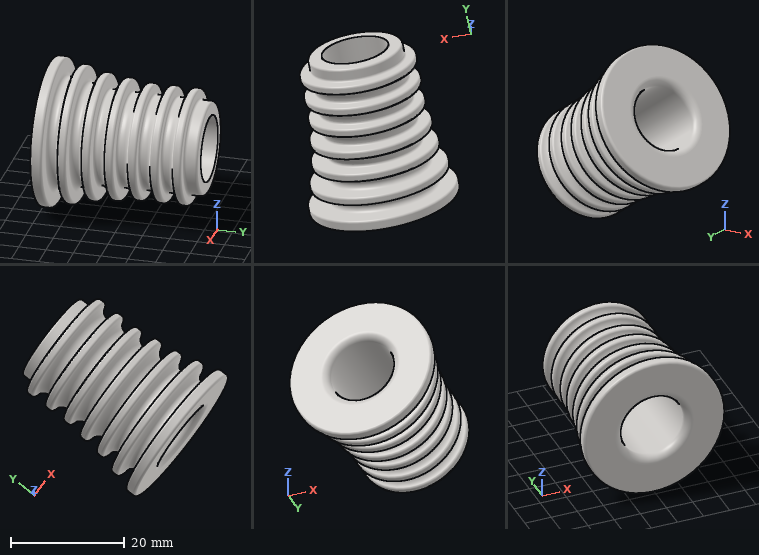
import cadquery as cq
import math

ring_pitch = 4.1
ring_thickness = 1.6
flange_thickness = 2.2
groove_width = ring_pitch - ring_thickness

flange_radius = 27.0 / 2
ring_radii = [25.0 / 2, 23.0 / 2, 22.0 / 2, 21.0 / 2, 21.0 / 2, 21.0 / 2]
hub_radius = 17.0 / 2
bore_radius = 12.0 / 2

edge_fillet = 0.5
wide_root_fillet = 1.0
root_fillets = [wide_root_fillet] * 2 + [edge_fillet] * 4
mouth_fillet = 1.5

total_length = flange_thickness + len(ring_radii) * ring_pitch + groove_width


def polar(center, radius, angle):
    """Point at an angle (radians, from the radial direction) on a circle."""
    return (center[0] + radius * math.cos(angle), center[1] + radius * math.sin(angle))


def add_arc(profile, center, radius, start, end):
    """Line to the start of a circular arc, then follow the arc to its end."""
    profile = profile.lineTo(*polar(center, radius, start))
    middle = polar(center, radius, (start + end) / 2)
    return profile.threePointArc(middle, polar(center, radius, end))


def add_upper_edge(profile, radius, height):
    """Round a square outer edge at the +Y side of a cylinder."""
    center = (radius - edge_fillet, height - edge_fillet)
    return add_arc(profile, center, edge_fillet, 0, math.pi / 2)


def add_groove_and_ring(profile, base, radius, root_fillet):
    """Follow a groove that starts at height base, then the ring above it."""
    arc_radius = radius - hub_radius
    arc_center = (radius, base + groove_width - arc_radius)

    root_height = base + root_fillet
    root_angle = math.pi - math.asin((root_height - arc_center[1]) / (arc_radius - root_fillet))
    root_center = polar(arc_center, arc_radius - root_fillet, root_angle)
    profile = add_arc(profile, root_center, root_fillet, 1.5 * math.pi, root_angle)

    edge_angle = math.pi - math.acos(edge_fillet / (arc_radius + edge_fillet))
    edge_center = polar(arc_center, arc_radius + edge_fillet, edge_angle)
    middle = polar(arc_center, arc_radius, (root_angle + edge_angle) / 2)
    profile = profile.threePointArc(middle, polar(arc_center, arc_radius, edge_angle))
    profile = profile.threePointArc(
        polar(edge_center, edge_fillet, (edge_angle - math.pi) / 2),
        polar(edge_center, edge_fillet, 0),
    )
    return add_upper_edge(profile, radius, base + ring_pitch)


mouth_radius = bore_radius + mouth_fillet
profile = cq.Workplane("XY").moveTo(mouth_radius, 0)

flange_edge_center = (flange_radius - edge_fillet, edge_fillet)
profile = add_arc(profile, flange_edge_center, edge_fillet, -math.pi / 2, 0)
profile = add_upper_edge(profile, flange_radius, flange_thickness)

for index, (radius, root_fillet) in enumerate(zip(ring_radii, root_fillets)):
    base = flange_thickness + index * ring_pitch
    profile = add_groove_and_ring(profile, base, radius, root_fillet)

hub_base = total_length - groove_width
hub_root_center = (hub_radius + edge_fillet, hub_base + edge_fillet)
profile = add_arc(profile, hub_root_center, edge_fillet, 1.5 * math.pi, math.pi)
profile = add_upper_edge(profile, hub_radius, total_length)

profile = profile.lineTo(bore_radius, total_length)
mouth_center = (mouth_radius, mouth_fillet)
profile = add_arc(profile, mouth_center, mouth_fillet, math.pi, 1.5 * math.pi)

result = profile.close().revolve(360, (0, 0, 0), (0, 1, 0))